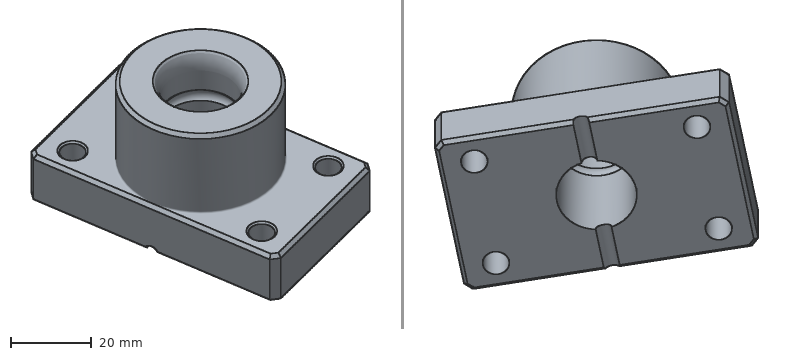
import cadquery as cq

length = 74.0
width = 44.0
base_height = 15.0
corner_chamfer = 2.0
edge_chamfer = corner_chamfer / 2

total_height = 40.0
boss_land = 0.01
boss_radius = width / 2 - edge_chamfer - boss_land
boss_fillet = 0.5

bore_radius = 10.0
mouth_radius = 11.3
mouth_chamfer = 0.5
flare_depth = 5.0
groove_radius = 2.0
groove_depth = groove_radius / 2
groove_distance_from_top = 13.0

screw_spacing_x = 56.0
screw_spacing_y = 30.0
screw_diameter = 6.6
screw_chamfer = 0.5

channel_radius = 2.0


def make_base():
    block = cq.Workplane("XY").box(length, width, base_height, centered=(True, True, False))
    block = block.edges("|Z").chamfer(corner_chamfer)
    return block.faces("<Z or >Z").edges().chamfer(edge_chamfer)


def add_boss(base):
    boss = cq.Workplane("XY").circle(boss_radius).extrude(total_height)
    boss = boss.faces(">Z").edges().chamfer(edge_chamfer)
    body = base.union(boss)
    return body.edges("%CIRCLE").edges("<Z").fillet(boss_fillet)


def make_bore():
    flare_end = total_height - flare_depth
    groove_height = total_height - groove_distance_from_top
    groove_half_opening = (groove_radius**2 - (groove_radius - groove_depth) ** 2) ** 0.5
    profile = (
        cq.Workplane("XZ")
        .lineTo(bore_radius, 0)
        .lineTo(bore_radius, groove_height - groove_half_opening)
        .threePointArc(
            (bore_radius + groove_depth, groove_height),
            (bore_radius, groove_height + groove_half_opening),
        )
        .lineTo(bore_radius, flare_end)
        .tangentArcPoint((mouth_radius, total_height - mouth_chamfer), relative=False)
        .lineTo(mouth_radius + mouth_chamfer, total_height)
        .lineTo(0, total_height)
        .close()
    )
    return profile.revolve(360, (0, 0), (0, 1))


def make_screw_holes():
    shafts = (
        cq.Workplane("XY")
        .rarray(screw_spacing_x, screw_spacing_y, 2, 2)
        .circle(screw_diameter / 2)
        .extrude(base_height)
    )
    countersinks = (
        cq.Workplane("XY", origin=(0, 0, base_height))
        .rarray(screw_spacing_x, screw_spacing_y, 2, 2)
        .circle(screw_diameter / 2 + screw_chamfer)
        .extrude(-screw_chamfer, taper=45)
    )
    return shafts.union(countersinks)


def make_channel():
    return cq.Workplane("XZ").circle(channel_radius).extrude(width / 2, both=True)


result = (
    add_boss(make_base())
    .cut(make_bore())
    .cut(make_screw_holes())
    .cut(make_channel())
)